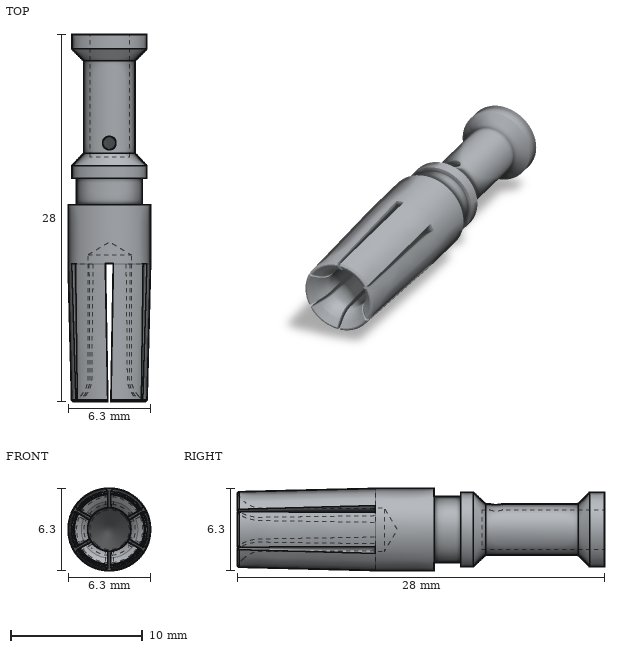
import cadquery as cq
import math

length = 28.0

cut_clearance = 0.28

collar_radius = 2.85
barrel_radius = 1.95
neck_radius = 2.52
socket_diameter = 6.3
socket_radius = socket_diameter / 2
tip_radius = 2.88
tip_chamfer = 0.15

end_collar_y = 26.88
barrel_rear_y = end_collar_y - (collar_radius - barrel_radius)
barrel_front_y = 18.93
middle_collar_rear_y = 17.98
middle_collar_front_y = 17.02
socket_rear_y = 15.0
slot_root_y = 10.53

mouth_radius = 2.65
throat_radius = 2.15
bore_radius = 1.65
throat_y = mouth_radius - throat_radius
bore_y = 1.82
bore_depth = 11.2
drill_point_angle = 118.0

slot_cuts = 3
slot_tip_width = 0.22
slot_root_width = 0.6

crimp_bore_radius = 1.5
crimp_bore_end_y = 18.65
inspection_hole_radius = 0.5
inspection_hole_y = 19.7


def revolve_about_y(profile):
    return profile.close().revolve(360, (0, 0, 0), (0, 1, 0))


def outer_body():
    profile = cq.Workplane("XY").polyline([
        (0, 0),
        (tip_radius - tip_chamfer, 0),
        (tip_radius, tip_chamfer),
        (socket_radius, slot_root_y),
        (socket_radius, socket_rear_y),
        (neck_radius, socket_rear_y),
        (neck_radius, middle_collar_front_y),
        (collar_radius, middle_collar_front_y),
        (collar_radius, middle_collar_rear_y),
        (barrel_radius, barrel_front_y),
        (barrel_radius, barrel_rear_y),
        (collar_radius, end_collar_y),
        (collar_radius, length),
        (0, length),
    ])
    return revolve_about_y(profile)


def socket_bore():
    throat_step = throat_radius - bore_radius
    throat_length = bore_y - throat_y
    arc_radius = (throat_length**2 + throat_step**2) / (2 * throat_step)
    half_sweep = math.asin(throat_length / arc_radius) / 2
    throat_middle = (
        bore_radius + arc_radius * (1 - math.cos(half_sweep)),
        bore_y - arc_radius * math.sin(half_sweep),
    )
    point_height = bore_radius / math.tan(math.radians(drill_point_angle / 2))
    profile = (
        cq.Workplane("XY")
        .lineTo(mouth_radius, 0)
        .lineTo(throat_radius, throat_y)
        .threePointArc(throat_middle, (bore_radius, bore_y))
        .lineTo(bore_radius, bore_depth)
        .lineTo(0, bore_depth + point_height)
    )
    return revolve_about_y(profile)


def tine_slot(angle):
    wedge = (
        cq.Workplane("XY")
        .polyline([
            (-slot_tip_width / 2, 0),
            (slot_tip_width / 2, 0),
            (slot_root_width / 2, slot_root_y),
            (-slot_root_width / 2, slot_root_y),
        ])
        .close()
        .extrude(socket_radius + cut_clearance, both=True)
    )
    return wedge.rotate((0, 0, 0), (0, 1, 0), angle)


def crimp_bore():
    profile = cq.Workplane("XY").polyline([
        (0, crimp_bore_end_y),
        (crimp_bore_radius, crimp_bore_end_y),
        (crimp_bore_radius, length),
        (0, length),
    ])
    return revolve_about_y(profile)


def inspection_hole():
    return (
        cq.Workplane("XY")
        .center(0, inspection_hole_y)
        .circle(inspection_hole_radius)
        .extrude(barrel_radius + cut_clearance)
    )


result = outer_body().cut(socket_bore())
for index in range(slot_cuts):
    result = result.cut(tine_slot(index * 180 / slot_cuts))
result = result.cut(crimp_bore()).cut(inspection_hole())